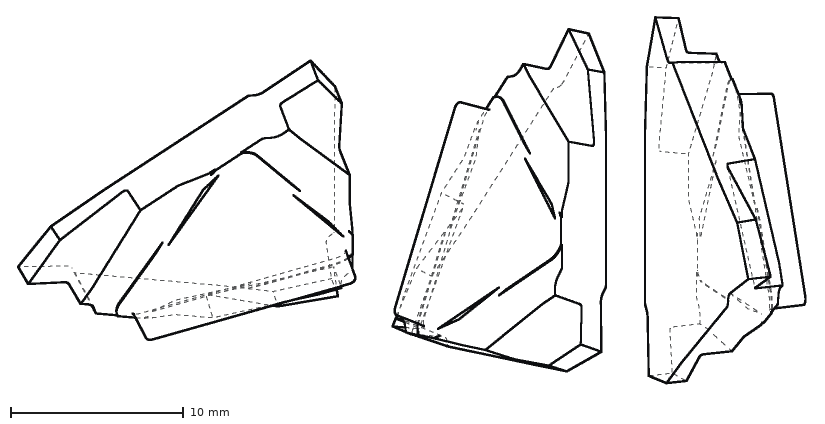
import cadquery as cq
import math


corner_count = 3
side_distance = 7.1
plate_height = 3.12
flank_draft = 3.5
tip = (5.58, 11.15)
side_end_z = 7.92
notch_root = (2.5, 9.02)
notch_slope = -0.33
notch_root_radius = 0.7
notch_edge_radius = 0.17
side_margin = 0.65

relief_start = (2.85, 9.25)
relief_end_z = 4.05
relief_rise = 0.15

pocket_direction = 30.0
pocket_wall_distance = 7.62
pocket_wall_draft = 4.0
pocket_floor_near = 0.8
pocket_floor_far = 1.33
pocket_floor_tip = 1.57
pocket_wall_near = (7.1, 2.65)
pocket_wall_far = (3.23, 9.45)
pocket_corner_radius = 0.17

recess_side_height = 2.65
recess_width = 3.23
ramp_top_z = -2.41
ramp_bottom_z = -0.09

boss_side_distance = 4.03
boss_corner_radius = 0.54
boss_top = 5.53
pad_height = 0.06
pad_margin = 0.86
boss_draft = 3.0
boss_foot_radius = 0.4
boss_rim_radius = 0.09

reach = 21.53
top = plate_height + pad_height


def turned(point, index):
    """Place of a corner point after turning it to the given corner."""
    angle = math.radians(360.0 / corner_count * index)
    y, z = point
    return (
        y * math.cos(angle) - z * math.sin(angle),
        y * math.sin(angle) + z * math.cos(angle),
    )


def straight_sides(height):
    """Upright block bounded by the three straight sides."""
    apex = (side_distance, side_distance * math.tan(math.pi / corner_count))
    points = [turned(apex, index) for index in range(corner_count)]
    return cq.Workplane("YZ").polyline(points).close().extrude(height)


def notch_mouth(distance):
    """Point of the notch wall at a distance from the axis along the next side's normal."""
    normal_y, normal_z = turned((1.0, 0.0), 1)
    wall_z_at_axis = notch_root[1] - notch_slope * notch_root[0]
    y = (distance - normal_z * wall_z_at_axis) / (normal_y + normal_z * notch_slope)
    return (y, wall_z_at_axis + notch_slope * y)


def make_plate():
    outer_y = side_distance + side_margin
    flank_slope = (tip[1] - side_end_z) / (tip[0] - side_distance)
    flank_mouth = (outer_y, side_end_z + flank_slope * side_margin)

    flank_way = cq.Vector(tip[0] - notch_root[0], tip[1] - notch_root[1]).normalized()
    wall_way = cq.Vector(-1.0, -notch_slope).normalized()
    half_angle = flank_way.getAngle(wall_way) / 2
    middle_way = (flank_way + wall_way).normalized()
    root = cq.Vector(*notch_root)
    tangent_length = notch_root_radius / math.tan(half_angle)
    arc_depth = notch_root_radius / math.sin(half_angle) - notch_root_radius
    arc_start = (root + flank_way * tangent_length).toTuple()[:2]
    arc_middle = (root + middle_way * arc_depth).toTuple()[:2]
    arc_end = (root + wall_way * tangent_length).toTuple()[:2]

    outline = cq.Workplane("YZ").moveTo(*flank_mouth)
    for index in range(corner_count):
        if index:
            outline = outline.lineTo(*turned(flank_mouth, index))
        outline = outline.lineTo(*turned(tip, index)).lineTo(*turned(arc_start, index))
        outline = outline.threePointArc(turned(arc_middle, index), turned(arc_end, index))
        outline = outline.lineTo(*turned(notch_mouth(outer_y), index))
    drafted = outline.close().extrude(plate_height, taper=flank_draft)

    plate = drafted.intersect(straight_sides(plate_height))
    for index in range(corner_count):
        y, z = turned(notch_mouth(side_distance), index)
        nearest = cq.selectors.NearestToPointSelector((plate_height / 2, y, z))
        plate = plate.edges(nearest).fillet(notch_edge_radius)
    return plate


def boss_outline(grow, height):
    """Rounded triangle of the boss at a height above the back, grown outward."""
    distance = boss_side_distance + grow
    sketch = (
        cq.Sketch()
        .regularPolygon(2 * distance, corner_count)
        .vertices()
        .fillet(boss_corner_radius + grow)
    )
    return cq.Workplane("YZ", origin=(height, 0, 0)).placeSketch(sketch)


def add_boss(plate):
    pad = boss_outline(pad_margin, plate_height).extrude(pad_height)
    pad = pad.intersect(straight_sides(top))
    boss = boss_outline(0.0, top).extrude(boss_top - top, taper=boss_draft)
    boss = boss.faces(">X").edges().fillet(boss_rim_radius)
    foot_edge = cq.selectors.NearestToPointSelector((top, 0, -boss_side_distance))
    return plate.union(pad).union(boss).edges(foot_edge).fillet(boss_foot_radius)


def wall_cutter(direction, profile):
    """Profile in (outward, X) for a direction from +Y, extruded both ways along the wall."""
    angle = math.radians(direction)
    outward = cq.Vector(0, math.cos(angle), math.sin(angle))
    plane = cq.Plane(origin=(0, 0, 0), xDir=outward, normal=outward.cross(cq.Vector(1, 0, 0)))
    return cq.Workplane(plane).polyline(profile).close().extrude(reach, both=True)


def slab_on(places, heights, thickness):
    """Large slab lying on the plane through three places at given heights above the back."""
    corners = [cq.Vector(height, *place) for place, height in zip(places, heights)]
    along = corners[1] - corners[0]
    normal = along.cross(corners[2] - corners[0])
    if normal.x < 0:
        normal = -normal
    plane = cq.Plane(origin=corners[0], xDir=along, normal=normal)
    return cq.Workplane(plane).rect(2 * reach, 2 * reach).extrude(thickness)


def make_relief_cutter():
    places = [relief_start, (side_distance, relief_end_z), tip]
    return slab_on(places, [0.0, 0.0, relief_rise], -reach)


def make_pocket_cutter():
    lean = top * math.tan(math.radians(pocket_wall_draft))
    outside = wall_cutter(
        pocket_direction,
        [
            (pocket_wall_distance, 0.0),
            (reach, 0.0),
            (reach, top),
            (pocket_wall_distance - lean, top),
        ],
    )
    places = [pocket_wall_near, pocket_wall_far, tip]
    heights = [pocket_floor_near, pocket_floor_far, pocket_floor_tip]
    pocket = outside.intersect(slab_on(places, heights, reach))
    middle = [(near + far) / 2 for near, far in zip(pocket_wall_near, pocket_wall_far)]
    middle_height = (pocket_floor_near + pocket_floor_far) / 2
    corner_edge = cq.selectors.NearestToPointSelector((middle_height, *middle))
    return pocket.edges(corner_edge).fillet(pocket_corner_radius)


def make_recess_cutter():
    floor_slope = (plate_height - recess_side_height) / recess_width
    outer_y = side_distance + side_margin
    floor = wall_cutter(
        0.0,
        [
            (side_distance - (top - recess_side_height) / floor_slope, top),
            (outer_y, recess_side_height - floor_slope * side_margin),
            (outer_y, top),
        ],
    )
    ramp_slope = (top - recess_side_height) / (ramp_bottom_z - ramp_top_z)
    ramp = wall_cutter(
        90.0,
        [
            (ramp_top_z, top),
            (reach, top - ramp_slope * (reach - ramp_top_z)),
            (reach, top),
        ],
    )
    boss_foot = boss_outline(boss_foot_radius, 0.0).extrude(boss_top)
    return floor.intersect(ramp).cut(boss_foot)


result = add_boss(make_plate())
for cutter in (make_relief_cutter(), make_pocket_cutter(), make_recess_cutter()):
    for index in range(corner_count):
        turn = 360.0 / corner_count * index
        result = result.cut(cutter.rotate((0, 0, 0), (1, 0, 0), turn))